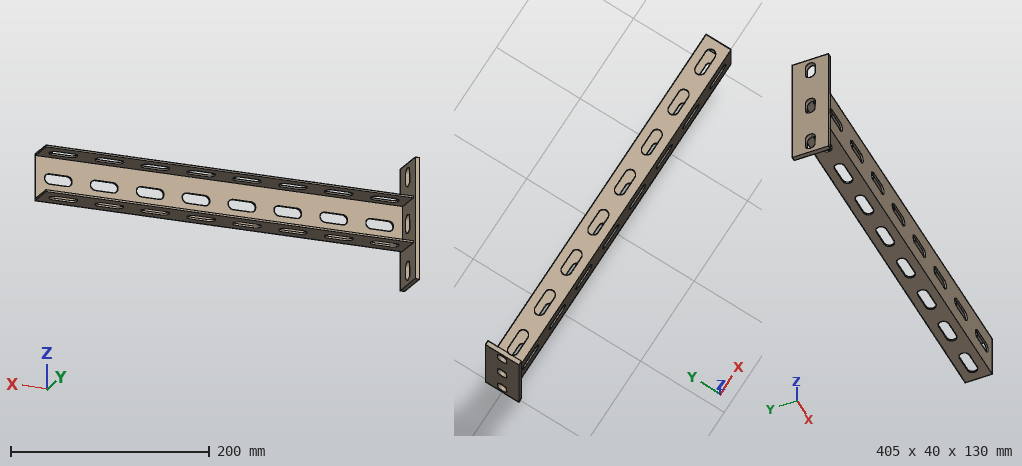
import cadquery as cq

total_length = 405.0

plate_thickness = 5.0
plate_width = 40.0
plate_height = 130.0

arm_length = total_length - plate_thickness
arm_width = 30.0
arm_height = 50.0
wall = 2.0

slot_width = 11.0
arm_slot_length = 30.0
plate_slot_length = 20.0
arm_slot_count = 8
plate_slot_count = 3
slot_pitch = arm_length / arm_slot_count


def centred_offsets(count):
    """Positions of evenly pitched slots, balanced about zero."""
    return [(i - (count - 1) / 2) * slot_pitch for i in range(count)]


def make_plate():
    """Flat plate with a vertical column of slots through its thickness."""
    blank = cq.Workplane("XY").box(
        plate_thickness, plate_width, plate_height, centered=(False, True, True)
    )
    slots = (
        cq.Workplane("YZ")
        .pushPoints([(0, z) for z in centred_offsets(plate_slot_count)])
        .slot2D(plate_slot_length, slot_width, angle=90)
        .extrude(plate_thickness)
    )
    return blank.cut(slots)


def make_channel():
    """Plain U channel: a web on the -Y side and two flanges, above and below."""
    outer = cq.Workplane("XY").box(arm_length, arm_width, arm_height)
    cavity = (
        cq.Workplane("XY")
        .box(arm_length, arm_width - wall, arm_height - 2 * wall)
        .translate((0, wall / 2, 0))
    )
    return outer.cut(cavity)


def arm_slots(plane, depth):
    """Row of slots along the arm, cutting both ways from a plane through its middle."""
    return (
        cq.Workplane(plane)
        .pushPoints([(x, 0) for x in centred_offsets(arm_slot_count)])
        .slot2D(arm_slot_length, slot_width)
        .extrude(depth / 2, both=True)
    )


def make_arm():
    """Channel slotted through its web and both flanges, set against the plate."""
    web_slots = arm_slots("XZ", arm_width)
    flange_slots = arm_slots("XY", arm_height)
    arm = make_channel().cut(web_slots).cut(flange_slots)
    return arm.translate((plate_thickness + arm_length / 2, 0, 0))


plate = make_plate()
arm = make_arm()

result = cq.Compound.makeCompound([plate.val(), arm.val()])